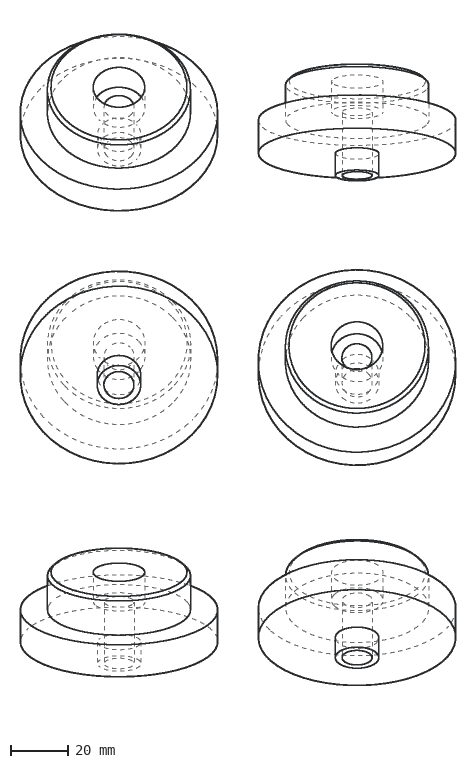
import cadquery as cq

flange_diameter = 69.0
flange_thickness = 12.0

boss_diameter = 50.0
boss_height = 14.0
boss_chamfer = 1.25

spigot_diameter = 15.2
spigot_length = 8.0

counterbore_diameter = 18.0
counterbore_depth = 11.0
bore_diameter = 10.5

boss_top = flange_thickness + boss_height
total_height = boss_top + spigot_length


def cylinder(diameter, bottom, height):
    """Solid cylinder on the Z axis, rising from the given bottom level."""
    return cq.Workplane("XY").workplane(offset=bottom).circle(diameter / 2).extrude(height)


flange = cylinder(flange_diameter, 0, flange_thickness)
boss = cylinder(boss_diameter, flange_thickness, boss_height).faces(">Z").chamfer(boss_chamfer)
spigot = cylinder(spigot_diameter, -spigot_length, spigot_length)

bore = cylinder(bore_diameter, -spigot_length, total_height)
counterbore = cylinder(counterbore_diameter, boss_top - counterbore_depth, counterbore_depth)

result = flange.union(boss).union(spigot).cut(bore).cut(counterbore)